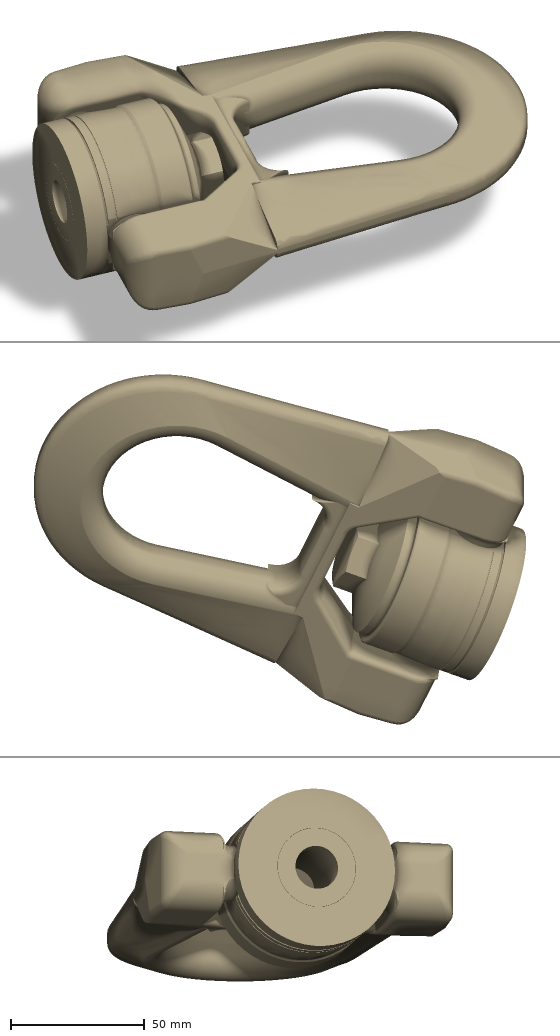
import cadquery as cq
import math


total_length = 183.0
body_radius = 30.0
pivot_y = 18.8
clear_of_part = 2 * total_length
tolerance = 0.1

base_height = 8.1
neck_radius = 21.0
base_groove_radius = 29.2
base_groove_top_y = 9.1
line_groove_y = 12.2
line_groove_width = 0.5
line_groove_depth = 0.4
side_flat_x = 28.0
waist_radius = 29.4
waist_y = 28.7
band_bottom_y = 29.6
band_chamfer_top_y = 30.9
housing_top_y = 42.8
housing_top_chamfer = 0.5

shank_radius = 29.92 / 2
shank_bore_radius = 30.12 / 2
thread_hole_radius = 16.31 / 2
thread_hole_depth = 40.0
thread_hole_floor_radius = 23.0
flange_radius = 27.0
flange_top_y = 46.4
cone_top_y = 52.8
cone_top_radius = 12.2
hex_across_flats = 24.0
hex_top_y = 61.2
hex_corner_chamfer = 0.7

pin_radius = 10.0
pin_end_x = 20.0
collar_radius = 10.5
collar_flare = 3.0
collar_root_x = 33.0
collar_overlap = 0.5

bow_radius = 48.2
bow_center_y = total_length - bow_radius
bow_side_angle = 5.54
bow_end_y = 66.5
bow_edge_height = 4.2
bow_edge_round = 3.8
hole_radius = 27.7
hole_center_y = 129.1
hole_side_angle = -8.7
crest_offset = 8.3
crest_height = 10.1
hole_round = 7.9

arm_half_thickness = 15.0
arm_bottom_y = 9.0
arm_end_round = 10.0
arm_end_y = arm_bottom_y + arm_end_round
arm_corner_round = 8.5
arm_corner_y = arm_bottom_y + arm_corner_round
arm_lower_x = 56.0
arm_widest_x = 57.5
arm_widest_y = 36.2
arm_shoulder_y = 43.4
arm_draft_angle = 3.6
arm_edge_round = 2.5
facet_foot_x = 55.2
facet_foot_y = 45.5
facet_tip_x = 55.0
facet_tip_z = 0.8

opening_half_width = 31.0
opening_corner_y = 44.0
opening_top_half_width = 15.1
opening_top_y = 64.3
opening_draft_angle = 8.0
opening_corner_round = 6.0
opening_edge_round = 1.9

bar_half_width = 26.7
bar_step_y = 70.1
bar_step_height = 10.5
bar_top_y = 74.2
bar_height = 9.6
bar_corner_round = 9.0
bar_edge_round = 2.4


def side_wall_x(radius, center_y, angle, y):
    """X at height y of the line that touches a circle and leans by angle from the Y axis."""
    lean = math.radians(angle)
    return (radius + (center_y - y) * math.sin(lean)) / math.cos(lean)


def bow_side_x(y):
    return side_wall_x(bow_radius, bow_center_y, bow_side_angle, y)


def hole_side_x(y):
    return side_wall_x(hole_radius, hole_center_y, hole_side_angle, y)


def arch(radius, center_y, angle, z):
    """Arch outline: a round top with a straight tangent side at each end, closed at bow_end_y."""
    lean = math.radians(angle)
    tangent_x = radius * math.cos(lean)
    tangent_y = center_y + radius * math.sin(lean)
    end_x = side_wall_x(radius, center_y, angle, bow_end_y)
    return (
        cq.Workplane("XY", origin=(0, 0, z))
        .moveTo(-end_x, bow_end_y)
        .lineTo(-tangent_x, tangent_y)
        .threePointArc((0, center_y + radius), (tangent_x, tangent_y))
        .lineTo(end_x, bow_end_y)
        .close()
    )


def outside_of(point, normal):
    """Large block filling the space on the side of a plane that its normal points to."""
    plane = cq.Plane(origin=point, normal=normal)
    return cq.Workplane(plane).rect(clear_of_part, clear_of_part).extrude(clear_of_part)


def turned(points):
    """Solid of revolution about the Y axis, from (radius, y) points."""
    return cq.Workplane("XY").polyline(points).close().revolve(360, (0, 0, 0), (0, 1, 0))


def make_bow():
    """Upper half of the loop: its outer face slopes from a rounded rim to a crest beside the hole."""
    outer = (bow_radius, bow_center_y, bow_side_angle)
    crest = (hole_radius + crest_offset, hole_center_y, hole_side_angle)
    hole = (hole_radius, hole_center_y, hole_side_angle)

    rim = arch(*outer, 0).extrude(bow_edge_height)
    rim_wire = arch(*outer, bow_edge_height).val()
    crest_wire = arch(*crest, crest_height).val()
    slope = cq.Workplane(cq.Solid.makeLoft([rim_wire, crest_wire], True))
    rim_edges = cq.selectors.BoxSelector(
        (-clear_of_part, bow_end_y + tolerance, bow_edge_height - tolerance),
        (clear_of_part, clear_of_part, bow_edge_height + tolerance),
    )
    half = rim.union(slope).edges(rim_edges).fillet(bow_edge_round)

    half = half.cut(arch(*hole, 0).extrude(crest_height))
    hole_edge = cq.selectors.NearestToPointSelector((0, hole_center_y, crest_height))
    return half.edges(hole_edge).fillet(hole_round)


def make_crossbar():
    """Upper half of the bar that closes the hole of the bow, with rounded inner corners."""
    corner_x = hole_side_x(bar_top_y) - bar_corner_round
    corner_top_y = bar_top_y + bar_corner_round
    corner_top_x = hole_side_x(corner_top_y)
    half = (
        cq.Workplane("XY")
        .moveTo(-bar_half_width, bow_end_y)
        .lineTo(bar_half_width, bow_end_y)
        .lineTo(bar_half_width, bar_step_y)
        .lineTo(corner_top_x, corner_top_y)
        .radiusArc((corner_x, bar_top_y), bar_corner_round)
        .lineTo(-corner_x, bar_top_y)
        .radiusArc((-corner_top_x, corner_top_y), bar_corner_round)
        .lineTo(-bar_half_width, bar_step_y)
        .close()
        .extrude(bar_height)
    )
    top_edges = cq.selectors.BoxSelector(
        (-corner_top_x, bar_top_y - tolerance, bar_height - tolerance),
        (corner_top_x, corner_top_y, bar_height + tolerance),
    )
    return half.edges(top_edges).fillet(bar_edge_round)


def arm_outline():
    """Upper half of a thick plate with the plan shape of both arms and the wedge joining them."""
    round_x = arm_lower_x - arm_corner_round
    shoulder_x = bow_side_x(bow_end_y)
    return (
        cq.Workplane("XY")
        .moveTo(-round_x, arm_bottom_y)
        .lineTo(round_x, arm_bottom_y)
        .radiusArc((arm_lower_x, arm_corner_y), -arm_corner_round)
        .lineTo(arm_widest_x, arm_widest_y)
        .lineTo(shoulder_x, bow_end_y)
        .lineTo(bar_half_width, bow_end_y)
        .lineTo(bar_half_width, bar_step_y)
        .lineTo(-bar_half_width, bar_step_y)
        .lineTo(-bar_half_width, bow_end_y)
        .lineTo(-shoulder_x, bow_end_y)
        .lineTo(-arm_widest_x, arm_widest_y)
        .lineTo(-arm_lower_x, arm_corner_y)
        .radiusArc((-round_x, arm_bottom_y), -arm_corner_round)
        .close()
        .extrude(arm_half_thickness)
    )


def arm_side_profile():
    """Thickness of the arms along Y: rounded lower end, level middle, wedge towards the bow."""
    end_flat_z = arm_half_thickness - arm_end_round
    return (
        cq.Workplane("YZ")
        .moveTo(arm_bottom_y, 0)
        .lineTo(arm_bottom_y, end_flat_z)
        .radiusArc((arm_end_y, arm_half_thickness), arm_end_round)
        .lineTo(arm_shoulder_y, arm_half_thickness)
        .lineTo(bar_step_y, bar_step_height)
        .lineTo(bar_step_y, 0)
        .close()
        .extrude(clear_of_part, both=True)
    )


def wedge_z(y):
    """Half thickness of the wedge at height y."""
    fall = (arm_half_thickness - bar_step_height) / (bar_step_y - arm_shoulder_y)
    return arm_half_thickness - fall * (y - arm_shoulder_y)


def opening():
    """Upper half of the cutter for the housing space; its walls widen from z = 0 outwards."""
    corners = [
        (-opening_half_width, -body_radius),
        (-opening_half_width, opening_corner_y),
        (-opening_top_half_width, opening_top_y),
        (opening_top_half_width, opening_top_y),
        (opening_half_width, opening_corner_y),
        (opening_half_width, -body_radius),
    ]
    outline = cq.Sketch().polygon(corners + corners[:1]).vertices(">Y").fillet(opening_corner_round)
    return cq.Workplane("XY").placeSketch(outline).extrude(body_radius, taper=-opening_draft_angle)


def shoulder_facet(side):
    """Cutter that slopes the top of one arm down to a point at the outer end of the wedge."""
    inner = cq.Vector(side * bar_half_width, bow_end_y, wedge_z(bow_end_y))
    foot = cq.Vector(side * facet_foot_x, facet_foot_y, wedge_z(facet_foot_y))
    tip = cq.Vector(side * facet_tip_x, bow_end_y, facet_tip_z)
    upward = (tip - inner).cross(foot - inner) * -side
    below_bow = cq.Workplane("XY").box(clear_of_part, 2 * bow_end_y, clear_of_part)
    return outside_of(inner, upward).intersect(below_bow)


def side_draft(side):
    """Cutter that drafts the outer side of one arm inwards above z = 0, over its upper part."""
    lean = math.atan2(arm_widest_x - bow_side_x(bow_end_y), bow_end_y - arm_widest_y)
    rise = math.tan(math.radians(arm_draft_angle))
    outward = cq.Vector(side * math.cos(lean), math.sin(lean), rise)
    return outside_of(cq.Vector(side * arm_widest_x, arm_widest_y, 0), outward)


def is_outer_edge(edge):
    """Edges between the top of an arm and its outer side, below the shoulder facet."""
    middle = edge.Center()
    near_top = middle.z > arm_half_thickness - arm_end_round
    near_side = abs(middle.x) > arm_widest_x - arm_end_round
    return near_top and near_side and arm_bottom_y < middle.y < facet_foot_y


def is_opening_edge(edge):
    """Edges between the walls of the opening and the top of the arms and wedge."""
    middle = edge.Center()
    on_top = middle.z > arm_half_thickness - arm_end_round
    return on_top and abs(middle.x) < collar_root_x + 1 and middle.y < bow_end_y


def make_arms():
    """Upper half of both arms and the wedge."""
    half = arm_outline().intersect(arm_side_profile())
    for side in (-1, 1):
        half = half.cut(side_draft(side))
    half = half.edges().filter(is_outer_edge).fillet(arm_edge_round)
    half = half.cut(opening()).edges().filter(is_opening_edge).fillet(opening_edge_round)
    for side in (-1, 1):
        half = half.cut(shoulder_facet(side))
    return half


def make_pin(side):
    """Upper half of a pin with a wider collar that flares out into the arm, level with its end."""
    root_radius = collar_radius + collar_flare
    flare_x = collar_root_x - collar_flare
    inside_arm_x = collar_root_x + collar_overlap
    collar = (
        cq.Workplane("XY", origin=(0, pivot_y, 0))
        .moveTo(side * side_flat_x, 0)
        .lineTo(side * side_flat_x, collar_radius)
        .lineTo(side * flare_x, collar_radius)
        .radiusArc((side * collar_root_x, root_radius), -side * collar_flare)
        .lineTo(side * inside_arm_x, root_radius)
        .lineTo(side * inside_arm_x, 0)
        .close()
        .revolve(360, (0, 0, 0), (1, 0, 0))
    )
    above_arm_end = (
        cq.Workplane("XY", origin=(0, arm_bottom_y, 0))
        .box(clear_of_part, clear_of_part, clear_of_part, centered=(True, False, False))
    )
    plane = cq.Workplane("YZ", origin=(side * pin_end_x, pivot_y, 0))
    pin = plane.circle(pin_radius).extrude(side * (side_flat_x - pin_end_x))
    upper_half = cq.Workplane("XY").box(
        clear_of_part, clear_of_part, clear_of_part, centered=(True, True, False)
    )
    return pin.intersect(upper_half).union(collar.intersect(above_arm_end))


def make_ring():
    """The ring, built as its upper half and mirrored."""
    half = make_bow().union(make_crossbar()).union(make_arms())
    for side in (-1, 1):
        half = half.union(make_pin(side))
    return half.union(half.mirror("XY"))


def make_base_ring():
    return turned(
        [
            (neck_radius, 0),
            (body_radius, 0),
            (body_radius, base_height),
            (neck_radius, base_height),
        ]
    )


def side_flat(side):
    """Cutter for the flat that the collar of a pin runs against."""
    flat_depth = body_radius - side_flat_x
    return (
        cq.Workplane("XY", origin=(side * body_radius, (base_height + band_bottom_y) / 2, 0))
        .box(2 * flat_depth, band_bottom_y - base_height, 2 * body_radius)
    )


def pin_bore(side):
    plane = cq.Workplane("YZ", origin=(side * pin_end_x, pivot_y, 0))
    return plane.circle(pin_radius).extrude(side * body_radius)


def make_housing():
    """Body with a neck through the base ring, a tapered waist and a plain upper band."""
    line_groove_radius = body_radius - line_groove_depth
    line_groove_top_y = line_groove_y + line_groove_width
    housing = turned(
        [
            (shank_bore_radius, 0),
            (neck_radius, 0),
            (neck_radius, base_height),
            (base_groove_radius, base_height),
            (base_groove_radius, base_groove_top_y),
            (body_radius, base_groove_top_y),
            (body_radius, line_groove_y),
            (line_groove_radius, line_groove_y),
            (line_groove_radius, line_groove_top_y),
            (body_radius, line_groove_top_y),
            (body_radius, pivot_y),
            (waist_radius, waist_y),
            (waist_radius, band_bottom_y),
            (body_radius, band_chamfer_top_y),
            (body_radius, housing_top_y - housing_top_chamfer),
            (body_radius - housing_top_chamfer, housing_top_y),
            (shank_bore_radius, housing_top_y),
        ]
    )
    for side in (-1, 1):
        housing = housing.cut(side_flat(side)).cut(pin_bore(side))
    return housing


def make_hex_head():
    """Hexagon with one corner towards +Z and its end corners turned off."""
    corner_radius = hex_across_flats / 2 / math.cos(math.pi / 6)
    hexagon = (
        cq.Workplane("XZ")
        .transformed(rotate=(0, 0, 30))
        .polygon(6, 2 * corner_radius)
        .extrude(-hex_top_y)
    )
    envelope = turned(
        [
            (0, flange_top_y),
            (corner_radius, flange_top_y),
            (corner_radius, hex_top_y - hex_corner_chamfer),
            (hex_across_flats / 2 - hex_corner_chamfer, hex_top_y),
            (0, hex_top_y),
        ]
    )
    return hexagon.intersect(envelope)


def thread_hole():
    """Cutter for a blind hole whose floor bulges towards its mouth as a cylinder along X."""
    floor_axis_y = thread_hole_depth + thread_hole_floor_radius
    floor = (
        cq.Workplane("YZ", origin=(0, floor_axis_y, 0))
        .circle(thread_hole_floor_radius)
        .extrude(body_radius, both=True)
    )
    hole = cq.Workplane("XZ").circle(thread_hole_radius).extrude(-floor_axis_y)
    return hole.cut(floor)


def make_bolt():
    bolt = turned(
        [
            (0, 0),
            (shank_radius, 0),
            (shank_radius, housing_top_y),
            (flange_radius, housing_top_y),
            (flange_radius, flange_top_y),
            (cone_top_radius, cone_top_y),
            (0, cone_top_y),
        ]
    )
    return bolt.union(make_hex_head()).cut(thread_hole())


ring = make_ring()
base_ring = make_base_ring()
housing = make_housing()
bolt = make_bolt()
result = cq.Compound.makeCompound([ring.val(), base_ring.val(), housing.val(), bolt.val()])